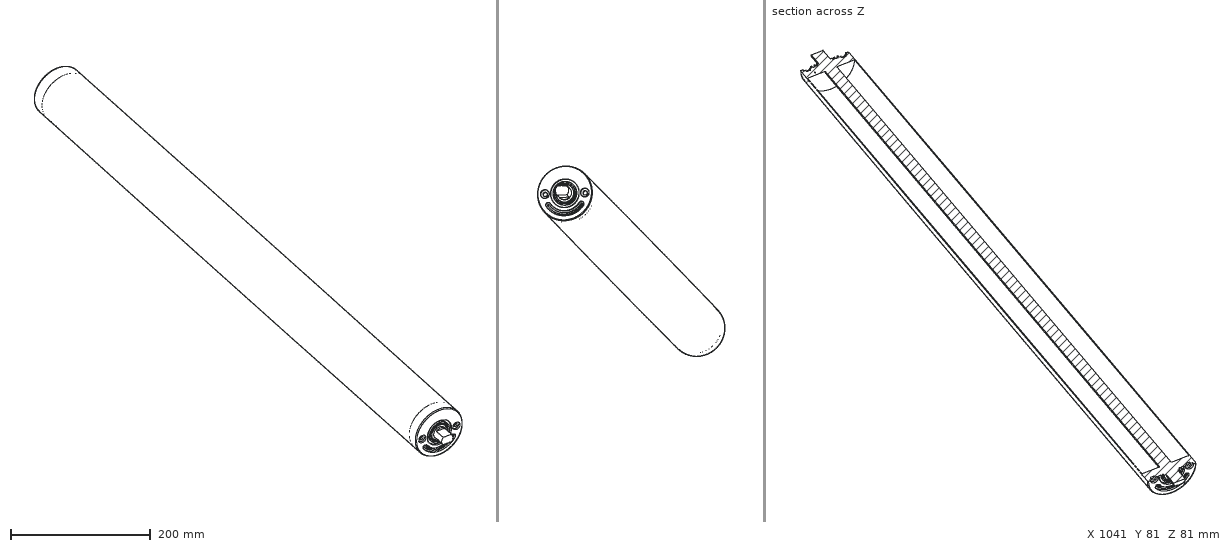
import cadquery as cq
import math

tube_length = 999.0
crown_diameter = 81.0
taper_end_diameter = 80.0
tube_face_diameter = 78.0
bore_diameter = 77.0
end_bevel_length = 2.0

cap_thickness = 20.0
groove_depth = 3.0
seal_grooves = ((42.0, 34.0), (30.0, 26.0))

recess_depth = 3.0
recess_step_depth = 3.0
hole_diameter = 12.0
hole_step_diameter = 6.0
hole_offset = 29.0
slot_radius = 29.0
slot_width = 7.0
slot_step_width = 2.6
slot_half_angle = 56

total_length = 1041.0
shaft_diameter = 20.0
flat_thickness = 14.0
flat_length = 18.0

half_tube = tube_length / 2
half_shaft = total_length / 2


def rod(diameter, start, length):
    """Cylinder on the X axis from x = start towards +X."""
    return cq.Workplane("YZ", origin=(start, 0, 0)).circle(diameter / 2).extrude(length)


def crowned_tube():
    """Tube with a cylindrical middle third, tapered outer thirds and bevelled ends."""
    crown_end = tube_length / 6
    taper_end = half_tube - end_bevel_length
    upper_edge = [
        (-half_tube, tube_face_diameter / 2),
        (-taper_end, taper_end_diameter / 2),
        (-crown_end, crown_diameter / 2),
        (crown_end, crown_diameter / 2),
        (taper_end, taper_end_diameter / 2),
        (half_tube, tube_face_diameter / 2),
    ]
    axis_ends = [(half_tube, 0), (-half_tube, 0)]
    profile = cq.Workplane("XY").polyline(upper_edge + axis_ends).close()
    solid = profile.revolve(360, (0, 0, 0), (1, 0, 0))
    return solid.cut(rod(bore_diameter, -half_tube, tube_length))


def ring_groove(outer_diameter, inner_diameter):
    """Ring to cut from the +X cap face around the shaft."""
    start = half_tube - groove_depth
    return rod(outer_diameter, start, groove_depth).cut(rod(inner_diameter, start, groove_depth))


def slot_point(radius, angle):
    """Point in the YZ plane at an angle in degrees measured from -Z."""
    turn = math.radians(angle)
    return (radius * math.sin(turn), -radius * math.cos(turn))


def arc_slot(width, depth):
    """Round-ended slot curved about the X axis, below the shaft."""
    inner = slot_radius - width / 2
    outer = slot_radius + width / 2
    end = slot_half_angle
    tip = end + math.degrees(width / 2 / slot_radius)
    return (
        cq.Workplane("YZ", origin=(half_tube - depth, 0, 0))
        .moveTo(*slot_point(inner, -end))
        .threePointArc(slot_point(inner, 0), slot_point(inner, end))
        .threePointArc(slot_point(slot_radius, tip), slot_point(outer, end))
        .threePointArc(slot_point(outer, 0), slot_point(outer, -end))
        .threePointArc(slot_point(slot_radius, -tip), slot_point(inner, -end))
        .close()
        .extrude(depth)
    )


def end_cap():
    """Cap closing the +X end of the tube, flush with the tube face."""
    cap = rod(bore_diameter, half_tube - cap_thickness, cap_thickness)
    for outer_diameter, inner_diameter in seal_grooves:
        cap = cap.cut(ring_groove(outer_diameter, inner_diameter))

    full_depth = recess_depth + recess_step_depth
    hole = rod(hole_diameter, half_tube - recess_depth, recess_depth)
    hole = hole.union(rod(hole_step_diameter, half_tube - full_depth, full_depth))
    for side in (-1, 1):
        cap = cap.cut(hole.translate((0, side * hole_offset, 0)))

    cap = cap.cut(arc_slot(slot_width, recess_depth))
    return cap.cut(arc_slot(slot_step_width, full_depth))


def shaft():
    """Round shaft with a pair of flats, facing +Z and -Z, at each end."""
    bar = rod(shaft_diameter, -half_shaft, total_length)
    cutter = cq.Workplane("XY").box(flat_length, shaft_diameter, shaft_diameter)
    x = half_shaft - flat_length / 2
    z = (flat_thickness + shaft_diameter) / 2
    for end in (-1, 1):
        for side in (-1, 1):
            bar = bar.cut(cutter.translate((end * x, 0, side * z)))
    return bar


cap = end_cap()
result = crowned_tube().union(cap).union(cap.mirror("YZ")).union(shaft())